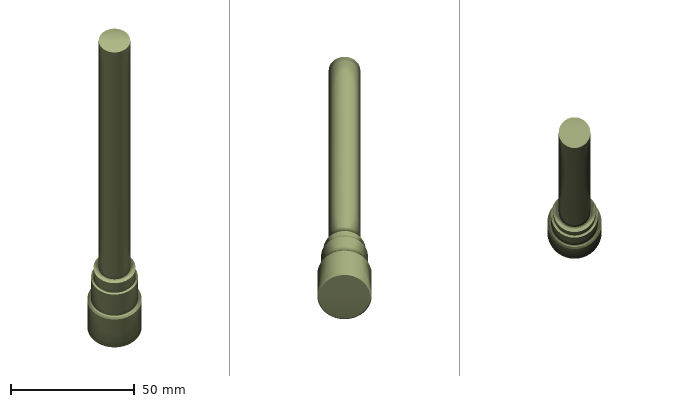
import cadquery as cq

total_height = 177.0
base_diameter = 22.0
base_top = 18.5
base_chamfer = 0.7
sleeve_diameter = 19.0
sleeve_top = 31.5
collar_diameter = 17.0
collar_top = 37.3
rod_diameter = 12.7


def cylinder(diameter, bottom, top):
    """Upright cylinder on the Z axis between two heights."""
    return cq.Workplane("XY").workplane(offset=bottom).circle(diameter / 2).extrude(top - bottom)


base = cylinder(base_diameter, 0, base_top).edges().chamfer(base_chamfer)

sleeve = cylinder(sleeve_diameter, base_top, sleeve_top)
collar = cylinder(collar_diameter, sleeve_top, collar_top)
rod = cylinder(rod_diameter, collar_top, total_height)

result = base.union(sleeve).union(collar).union(rod)